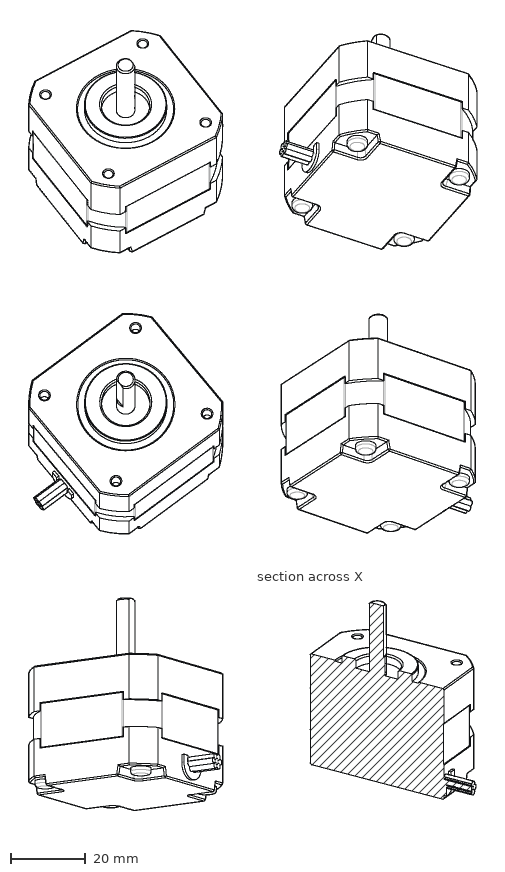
import cadquery as cq
import math

body_width = 42.0
body_height = 33.05
corner_radius = 26.0
top_chamfer = 0.35
bottom_chamfer = 0.4
half_width = body_width / 2

core_width = 41.75
core_radius = 24.75
core_edge_fillet = 0.8
waist_bottom = 13.05
waist_top = 20.55
window_width = 27.05
window_bottom = 10.4
window_top = 22.8
window_bevel = 0.2
window_depth = (body_width - core_width) / 2
cut_depth = 2.65

boss_diameter = 22.05
boss_height = 1.9
boss_chamfer = 0.2
boss_top = body_height + boss_height
bore_diameter = 13.0
bore_depth = 2.65
bore_chamfer = 0.5
ring_diameter = 26.35
ring_depth = 0.3

shaft_top = 53.0
shaft_root = 2.65
shaft_diameter = 5.0
shaft_chamfer = 0.5
flat_length = 15.1
flat_offset = 2.0

hole_pitch = 31.0
hole_diameter = 2.5
hole_depth = 4.5
hole_chamfer = 0.3

recess_height = 2.55
recess_edge = 11.75
recess_reach = 31.8
recess_fillet = 1.6
recess_wall_angle = 10
head_diameter = 5.5
head_rim_bottom = 1.6
head_shoulder_radius = 0.8
head_bottom = 0.6
head_overlap = 0.25

cable_end = 29.65
cable_height = 5.35
cable_root = 1.05
plate_width = 8.25
plate_top = 7.5
plate_thickness = 0.75
slot_width = 4.55
wire_pitch = 1.45
wire_diameter = 1.55
outer_wires = 6


def rounded_block(width, radius, bottom, top):
    """A square block between two heights, its corners cut to a circle about the shaft axis."""
    plane = cq.Workplane("XY").workplane(offset=bottom)
    square = plane.rect(width, width).extrude(top - bottom)
    return square.intersect(plane.circle(radius).extrude(top - bottom))


def around_shaft(shape):
    """The shape in its four positions about the shaft axis."""
    return [shape.rotate((0, 0, 0), (0, 0, 1), 90 * quarter) for quarter in range(4)]


def corner_recess():
    """A pit under one corner whose inner walls lean away from the shaft axis as they rise."""
    centre = (recess_edge + recess_reach) / 2
    side = recess_reach - recess_edge
    pit = cq.Workplane("XY").center(centre, centre).rect(side, side)
    pit = pit.extrude(recess_height, taper=recess_wall_angle)
    return pit.edges("not #Z").edges("<(1, 1, 0)").fillet(recess_fillet)


def screw_head():
    """A pan head under one corner, revolved about its own axis."""
    rim = head_diameter / 2
    shoulder = rim - head_shoulder_radius
    shoulder_bottom = head_rim_bottom - head_shoulder_radius
    arc_reach = head_shoulder_radius * math.sqrt(0.5)
    arc_middle = (shoulder + arc_reach, head_rim_bottom - arc_reach)
    head_top = recess_height + head_overlap
    profile = (
        cq.Workplane("XZ")
        .moveTo(0, head_top)
        .lineTo(rim, head_top)
        .lineTo(rim, head_rim_bottom)
        .threePointArc(arc_middle, (shoulder, shoulder_bottom))
        .lineTo(0, head_bottom)
        .close()
    )
    head = profile.revolve(360, (0, 0, 0), (0, 1, 0))
    return head.translate((hole_pitch / 2, hole_pitch / 2, 0))


def make_casing():
    """The body with its corner recesses, before the waist is cut."""
    casing = rounded_block(body_width, corner_radius, 0, body_height)
    casing = casing.faces(">Z").chamfer(top_chamfer)
    for recess in around_shaft(corner_recess()):
        casing = casing.cut(recess)

    margin = 0.55
    outside = half_width + margin
    ceiling = recess_height + margin
    inside = (recess_edge + half_width) / 2 + 2 * margin
    low_edges = cq.selectors.BoxSelector((-outside, -outside, -margin), (outside, outside, ceiling))
    inner_edges = cq.selectors.BoxSelector((-inside, -inside, margin), (inside, inside, ceiling))
    return casing.edges(low_edges - inner_edges).chamfer(bottom_chamfer)


def make_core_gap():
    """Everything outside the stator core at the waist and in the windows."""
    core = rounded_block(core_width, core_radius, 0, body_height).edges("|Z").fillet(core_edge_fillet)
    gap = rounded_block(2 * body_width, body_width, waist_bottom, waist_top)
    for window in around_shaft(wall_window()):
        gap = gap.union(window)
    return gap.cut(core)


def wall_window():
    """A window through the -Y wall to the core, opening outward at its top and bottom."""
    wall = -half_width
    low_edge = window_bottom + window_bevel
    high_edge = window_top - window_bevel
    profile = [
        (wall, window_bottom),
        (wall, window_top),
        (wall + window_depth, high_edge),
        (wall + cut_depth, high_edge),
        (wall + cut_depth, low_edge),
        (wall + window_depth, low_edge),
    ]
    return cq.Workplane("YZ").polyline(profile).close().extrude(window_width / 2, both=True)


def add_boss(body):
    """The ring recess, the pilot boss standing in it and the bore through the boss."""
    top = body.faces(">Z").workplane()
    body = top.circle(ring_diameter / 2).extrude(-ring_depth, combine="cut", taper=45)
    boss = cq.Workplane("XY").workplane(offset=body_height - ring_depth).circle(boss_diameter / 2)
    boss = boss.extrude(boss_height + ring_depth).faces(">Z").chamfer(boss_chamfer)
    bore = cq.Workplane("XY").workplane(offset=boss_top - bore_depth).circle(bore_diameter / 2)
    body = body.union(boss).cut(bore.extrude(bore_depth))
    bore_rim = cq.selectors.RadiusNthSelector(0)
    return body.faces(">Z").edges(bore_rim).chamfer(bore_chamfer)


def add_mounting_holes(body):
    """Four blind holes in the top face, each with a bevelled mouth."""
    top = cq.Workplane("XY").workplane(offset=body_height)
    holes = top.rect(hole_pitch, hole_pitch, forConstruction=True).vertices()
    holes = holes.circle(hole_diameter / 2).extrude(-hole_depth)
    mouths = top.rect(hole_pitch, hole_pitch, forConstruction=True).vertices()
    mouths = mouths.circle(hole_diameter / 2 + hole_chamfer).extrude(-hole_chamfer, taper=45)
    return body.cut(holes).cut(mouths)


def make_shaft():
    """The bevelled shaft, flattened over its upper length and sunk below the bore floor."""
    root = boss_top - bore_depth - shaft_root
    shaft = cq.Workplane("XY").workplane(offset=root).circle(shaft_diameter / 2).extrude(shaft_top - root)
    shaft = shaft.faces(">Z").chamfer(shaft_chamfer)
    flat = cq.Workplane("XY").workplane(offset=shaft_top - flat_length)
    flat = flat.center(0, flat_offset + shaft_diameter / 2).rect(shaft_diameter, shaft_diameter)
    return shaft.cut(flat.extrude(flat_length))


def make_cable():
    """A U-shaped outlet plate, slotted from above, and a ring of wires around a middle one."""
    rear = cq.Workplane("XZ", origin=(0, half_width - cable_root, cable_height))
    radius = plate_width / 2
    rise = plate_top - cable_height
    plate = rear.moveTo(-radius, 0).threePointArc((0, -radius), (radius, 0))
    plate_length = cable_root + plate_thickness
    plate = plate.lineTo(radius, rise).lineTo(-radius, rise).close().extrude(-plate_length)
    slot = rear.center(0, rise / 2).rect(slot_width, rise).extrude(-plate_length)
    plate = plate.cut(slot)
    wire_length = cable_end - half_width + cable_root
    cable = plate.union(rear.circle(wire_diameter / 2).extrude(-wire_length))
    for number in range(outer_wires):
        angle = 2 * math.pi * number / outer_wires
        place = (wire_pitch * math.cos(angle), wire_pitch * math.sin(angle))
        cable = cable.union(rear.center(*place).circle(wire_diameter / 2).extrude(-wire_length))
    return cable


result = make_casing().cut(make_core_gap())
result = add_mounting_holes(add_boss(result))
result = result.union(make_shaft())
for head in around_shaft(screw_head()):
    result = result.union(head)
result = result.union(make_cable())